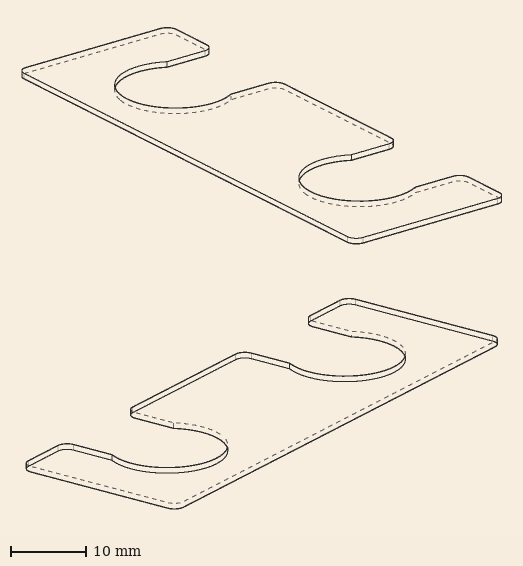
import cadquery as cq

length = 74.2
width = 25.4
thickness = 0.8
corner_radius = 1.5

notch_spacing = 40.6
hole_diameter = 16.2
hole_height = 13.65
mouth_width = 14.1

hole_y = hole_height - width / 2
mouth_depth = width / 2 - hole_y


def make_blank():
    """Flat plate centred on the origin, with square corners."""
    return cq.Workplane("XY").box(length, width, thickness)


def cut_mouths(plate):
    """Straight channels from the hole centres out through the +Y edge."""
    mouths = (
        cq.Workplane("XY")
        .pushPoints([(side * notch_spacing / 2, hole_y + mouth_depth / 2) for side in (-1, 1)])
        .rect(mouth_width, mouth_depth)
        .extrude(thickness, both=True)
    )
    return plate.cut(mouths)


def round_corners(plate):
    """Round the plate corners and the outer corners of the mouths."""
    top_corners = plate.faces(">Y").edges("|Z")
    bottom_corners = plate.faces("<Y").edges("|Z")
    return plate.newObject(top_corners.vals() + bottom_corners.vals()).fillet(corner_radius)


def cut_holes(plate):
    """Round seats at the inner ends of the mouths."""
    holes = (
        cq.Workplane("XY")
        .pushPoints([(side * notch_spacing / 2, hole_y) for side in (-1, 1)])
        .circle(hole_diameter / 2)
        .extrude(thickness, both=True)
    )
    return plate.cut(holes)


blank = make_blank()
open_plate = cut_mouths(blank)
rounded_plate = round_corners(open_plate)
result = cut_holes(rounded_plate)